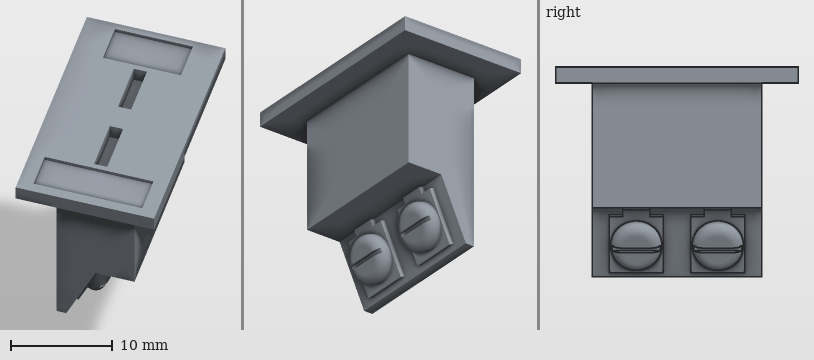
import cadquery as cq

PLATE_X = 14.2
PLATE_Y = 23.8
PLATE_THICKNESS = 1.6

TOTAL_HEIGHT = 20.59
BODY_X = 8.0
BODY_Y = 16.65
LEDGE_DEPTH = 13.83
FOOT_TIP_X = 1.0

RECESS_DEPTH = 0.4
RECESS_INNER_Y = 7.16
BLANK_RECESS_X = BODY_X
BLANK_RECESS_Y = 4.0
TEXT_RECESS_X = 11.16
TEXT_RECESS_Y = 3.74

CONTACT_PITCH = 8.0
SLOT_X = 1.35
SLOT_Y = 5.28

STRIP_LENGTH = 6.74
STRIP_WIDTH = SLOT_Y
STRIP_THICKNESS = 0.5
NECK_LENGTH = 0.71
NECK_WIDTH = STRIP_WIDTH / 2

HEAD_DIAMETER = 5.0
HEAD_HEIGHT = 1.5
HEAD_ROUND = 1.0
HEAD_DISTANCE = 3.67
DRIVE_SLOT_WIDTH = 0.5
DRIVE_SLOT_DEPTH = 0.5

CONTACT_POSITIONS = (-CONTACT_PITCH / 2, CONTACT_PITCH / 2)


def block_below(size_x, size_y, depth, y=0):
    """Rectangular block reaching down from the top face, centred on X = 0."""
    return cq.Workplane("XY").center(0, y).rect(size_x, size_y).extrude(-depth)


def make_body():
    left = -BODY_X / 2
    profile = [
        (left, -PLATE_THICKNESS),
        (BODY_X / 2, -PLATE_THICKNESS),
        (BODY_X / 2, -LEDGE_DEPTH),
        (0, -LEDGE_DEPTH),
        (left + FOOT_TIP_X, -TOTAL_HEIGHT),
        (left, -TOTAL_HEIGHT),
    ]
    return cq.Workplane("XZ").polyline(profile).close().extrude(BODY_Y / 2, both=True)


def slope_plane(y):
    """Plane on the sloped foot face: local x runs down the slope, local z points outward."""
    slope_run = BODY_X / 2 - FOOT_TIP_X
    slope_drop = TOTAL_HEIGHT - LEDGE_DEPTH
    return cq.Plane(
        origin=(0, y, -LEDGE_DEPTH),
        xDir=(-slope_run, 0, -slope_drop),
        normal=(slope_drop, 0, -slope_run),
    )


def make_terminal(y):
    face = cq.Workplane(slope_plane(y))
    tab_length = STRIP_LENGTH - NECK_LENGTH
    tab_middle = NECK_LENGTH + tab_length / 2
    tab = face.center(tab_middle, 0).rect(tab_length, STRIP_WIDTH).extrude(STRIP_THICKNESS)
    neck = face.center(NECK_LENGTH / 2, 0).rect(NECK_LENGTH, NECK_WIDTH).extrude(STRIP_THICKNESS)

    head_base = face.workplane(offset=STRIP_THICKNESS).center(HEAD_DISTANCE, 0)
    head = head_base.circle(HEAD_DIAMETER / 2).extrude(HEAD_HEIGHT)
    head = head.edges(cq.selectors.DirectionMinMaxSelector(face.plane.zDir, True)).fillet(HEAD_ROUND)
    drive_slot = (
        head_base.workplane(offset=HEAD_HEIGHT)
        .rect(DRIVE_SLOT_WIDTH, HEAD_DIAMETER)
        .extrude(-DRIVE_SLOT_DEPTH)
    )
    return tab.union(neck).union(head.cut(drive_slot))


plate = block_below(PLATE_X, PLATE_Y, PLATE_THICKNESS)
blank_recess_center = RECESS_INNER_Y + BLANK_RECESS_Y / 2
text_recess_center = -RECESS_INNER_Y - TEXT_RECESS_Y / 2
plate = plate.cut(block_below(BLANK_RECESS_X, BLANK_RECESS_Y, RECESS_DEPTH, blank_recess_center))
plate = plate.cut(block_below(TEXT_RECESS_X, TEXT_RECESS_Y, RECESS_DEPTH, text_recess_center))
for contact_y in CONTACT_POSITIONS:
    plate = plate.cut(block_below(SLOT_X, SLOT_Y, PLATE_THICKNESS, contact_y))

result = plate.union(make_body())
for contact_y in CONTACT_POSITIONS:
    result = result.union(make_terminal(contact_y))